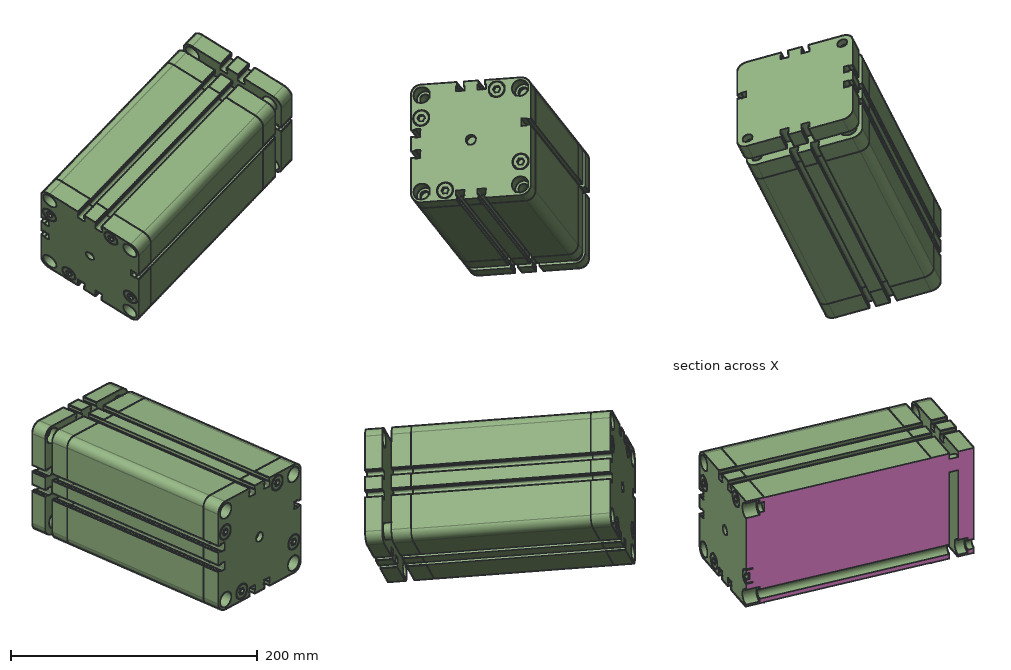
import cadquery as cq


total_length = 203.0
cap_length = 16.2
plate_thickness = 14.2
plate_gap = 7.7
side = 100.0
barrel_side = 99.7
cap_corner_radius = 8.5
barrel_corner_radius = 7.7

plate_start = total_length - plate_thickness
housing_length = plate_start - plate_gap
barrel_length = housing_length - 2 * cap_length
rear_cap_start = cap_length + barrel_length

throat_width = 5.7
throat_depth = 3.7
undercut_width = 7.1
slot_depth = 8.0
undercut_corner_radius = 0.6
mouth_chamfer = 0.5
slot_offset = 9.0

single_throat_width = 5.0
single_undercut_width = 6.5
single_slot_offset = 11.8

corner_offset = 41.0
corner_hole_diameter = 8.5
counterbore_diameter = 13.5
counterbore_depth = 12.2
plate_counterbore_depth = 8.5

screw_near = 21.5
screw_far = 41.5
screw_recess_diameter = 13.5
screw_head_diameter = 12.5
screw_ring_depth = 6.0
socket_across_corners = 6.0
socket_depth = 3.0

center_hole_diameter = 8.3
center_hole_depth = 5.0

rod_diameter = 20.0
rod_flat_distance = 17.0
rod_flat_length = 5.7
rod_end_chamfer_length = 1.2
rod_end_chamfer_depth = 0.6

guide_rod_diameter = 14.0
guide_rod_offset = 38.4


def section(start):
    """Sketch plane across the axis at the given station; sketch axes are X and Z."""
    return cq.Workplane("XZ", origin=(0, start, 0))


def rounded_block(start, length, width, corner_radius):
    block = section(start).rect(width, width).extrude(-length)
    return block.edges("|Y").fillet(corner_radius)


def cylinder(x, z, diameter, start, length):
    return section(start).center(x, z).circle(diameter / 2).extrude(-length)


def slot_cutter(start, length, face, offset, throat, undercut, floor_radius):
    """Slot in the +Z side whose surface lies at the face height, shifted along X by the offset."""
    undercut_height = slot_depth - throat_depth
    throat_part = (
        section(start).center(offset, face - throat_depth / 2)
        .rect(throat, throat_depth).extrude(-length)
    )
    undercut_part = (
        section(start).center(offset, face - throat_depth - undercut_height / 2)
        .rect(undercut, undercut_height).extrude(-length)
    )
    if floor_radius > 0:
        undercut_part = undercut_part.faces("<Z").edges("|Y").fillet(floor_radius)
    return throat_part.union(undercut_part)


def mouth_cutter(start, length, face, offset, throat):
    """Wedge that chamfers both edges of a slot mouth in the +Z side."""
    inner = throat / 2
    outer = inner + mouth_chamfer
    return (
        section(start).center(offset, face)
        .polyline([(-inner, -mouth_chamfer), (inner, -mouth_chamfer), (outer, 0), (-outer, 0)])
        .close().extrude(-length)
    )


def turned(shape, angle):
    return shape.rotate((0, 0, 0), (0, 1, 0), angle)


front_cap = (0, cap_length, side, cap_corner_radius)
barrel = (cap_length, barrel_length, barrel_side, barrel_corner_radius)
rear_cap = (rear_cap_start, cap_length, side, cap_corner_radius)
guide_plate = (plate_start, plate_thickness, side, cap_corner_radius)
blocks = (front_cap, barrel, rear_cap, guide_plate)

part = rounded_block(*front_cap)
for block in blocks[1:]:
    part = part.union(rounded_block(*block))

top_angle, left_angle, bottom_angle, right_angle = 0, -90, 180, 90
slots = [
    (angle, offset, throat_width, undercut_width, undercut_corner_radius)
    for angle in (top_angle, left_angle, bottom_angle)
    for offset in (-slot_offset, slot_offset)
]
slots.append((right_angle, -single_slot_offset, single_throat_width, single_undercut_width, 0))

for block in blocks:
    start, length, width, _ = block
    span = (start, length, width / 2)
    for angle, offset, throat, undercut, floor_radius in slots:
        part = part.cut(turned(slot_cutter(*span, offset, throat, undercut, floor_radius), angle))
        if block != barrel or angle == left_angle:
            part = part.cut(turned(mouth_cutter(*span, offset, throat), angle))

for x_sign in (-1, 1):
    for z_sign in (-1, 1):
        x = x_sign * corner_offset
        z = z_sign * corner_offset
        is_through = x_sign != z_sign
        hole_length = total_length if is_through else cap_length
        part = part.cut(cylinder(x, z, corner_hole_diameter, 0, hole_length))
        part = part.cut(cylinder(x, z, counterbore_diameter, 0, counterbore_depth))
        if is_through:
            part = part.cut(
                cylinder(x, z, counterbore_diameter, plate_start, plate_counterbore_depth)
            )

screw_centers = [
    (screw_near, screw_far),
    (screw_far, -screw_near),
    (-screw_near, -screw_far),
    (-screw_far, screw_near),
]
for x, z in screw_centers:
    recess = cylinder(x, z, screw_recess_diameter, 0, screw_ring_depth)
    head = cylinder(x, z, screw_head_diameter, 0, screw_ring_depth)
    socket = section(0).center(x, z).polygon(6, socket_across_corners).extrude(-socket_depth)
    part = part.cut(recess.cut(head)).cut(socket)

part = part.cut(cylinder(0, 0, center_hole_diameter, 0, center_hole_depth))


def piston_rod():
    """Rod across the gap: tapered at the plate, flats run out at 45 degrees at the housing."""
    radius = rod_diameter / 2
    taper_start = plate_start - rod_end_chamfer_length
    flat_end = plate_start - rod_flat_length
    rod = (
        cq.Workplane("XY")
        .moveTo(0, housing_length)
        .lineTo(radius, housing_length)
        .lineTo(radius, taper_start)
        .lineTo(radius - rod_end_chamfer_depth, plate_start)
        .lineTo(0, plate_start)
        .close()
        .revolve(360, (0, 0, 0), (0, 1, 0))
    )
    flat = rod_flat_distance / 2
    runout = radius - flat
    flat_cutter = (
        cq.Workplane("XY")
        .moveTo(flat, plate_start)
        .lineTo(flat, flat_end)
        .lineTo(radius, flat_end - runout)
        .lineTo(radius, plate_start)
        .close()
        .extrude(radius, both=True)
    )
    return rod.cut(flat_cutter).cut(flat_cutter.mirror("YZ"))


part = part.union(piston_rod())
for sign in (-1, 1):
    place = sign * guide_rod_offset
    part = part.union(cylinder(place, place, guide_rod_diameter, housing_length, plate_gap))

result = part